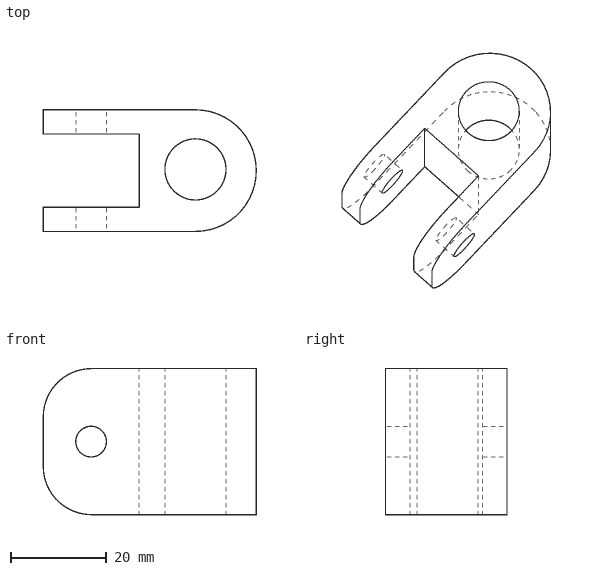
import cadquery as cq

width = 25.4
height = 30.5
length = 44.45
slot_depth = 20.0
slot_width = 15.2
corner_radius = 10.1
bore_diameter = 12.7
bore_offset_y = 0.25
pin_diameter = 6.35
pin_inset = 10.0

end_radius = width / 2
tip_x = end_radius - length
slot_floor_x = tip_x + slot_depth
pin_x = tip_x + pin_inset


def make_body():
    """Solid block with one half-round end and rounded arm-tip corners."""
    straight = (
        cq.Workplane("XY")
        .box(-tip_x, width, height)
        .translate((tip_x / 2, 0, 0))
        .edges("|Y and <X")
        .fillet(corner_radius)
    )
    rounded_end = cq.Workplane("XY").circle(end_radius).extrude(height / 2, both=True)
    return straight.union(rounded_end)


def make_slot():
    """Full-height gap that separates the two arms."""
    return (
        cq.Workplane("XY")
        .box(slot_depth, slot_width, height)
        .translate((slot_floor_x - slot_depth / 2, 0, 0))
    )


def make_bore():
    """Vertical through bore in the rounded end, slightly off-centre in Y."""
    return (
        cq.Workplane("XY")
        .center(0, bore_offset_y)
        .circle(bore_diameter / 2)
        .extrude(height / 2, both=True)
    )


def make_pin_hole():
    """Cross hole along Y through both arms, at mid height."""
    return (
        cq.Workplane("XZ")
        .center(pin_x, 0)
        .circle(pin_diameter / 2)
        .extrude(width / 2, both=True)
    )


result = make_body().cut(make_slot()).cut(make_bore()).cut(make_pin_hole())